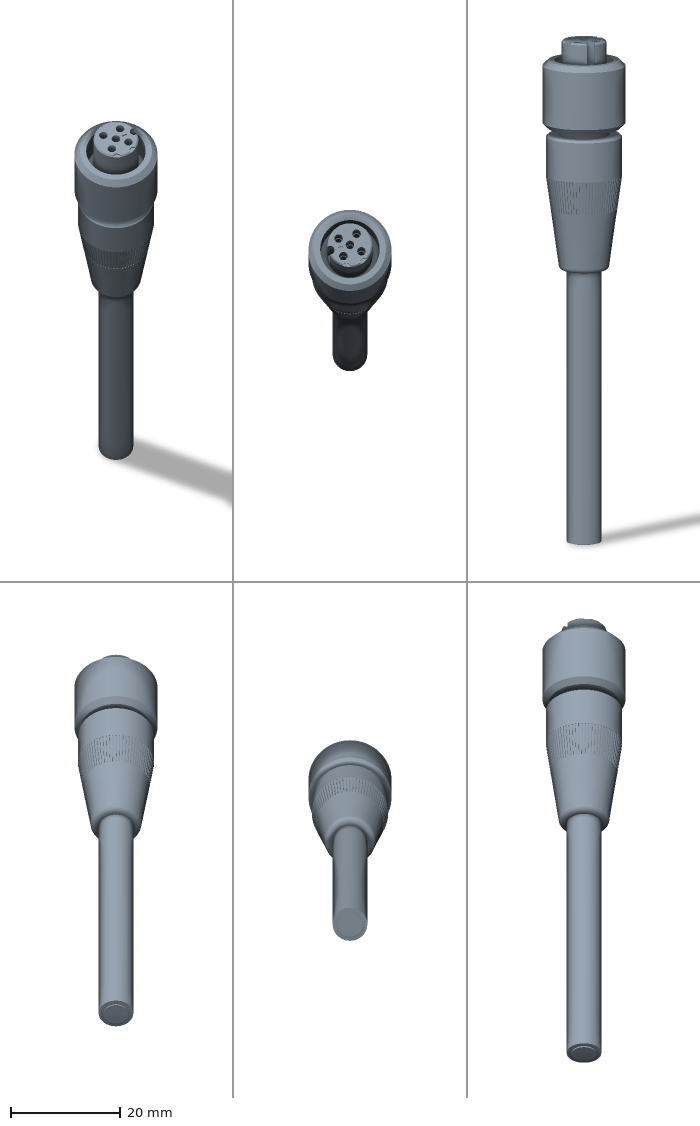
import cadquery as cq
import math

total_height = 93.88
nut_top = total_height - 3.71
nut_bottom = total_height - 16.42
grip_top = total_height - 17.6
knurl_top = total_height - 25.3
knurl_bottom = total_height - 31.55
boot_bottom = total_height - 42.85
jacket_bottom = 0.25

nut_diameter = 15.24
nut_face_diameter = 13.2
nut_bore_diameter = 10.92
nut_chamfer_height = 1.02
insert_diameter = 8.2
neck_diameter = 9.42
grip_diameter = 13.97
boot_end_diameter = 9.05
cable_diameter = 6.35
core_diameter = 4.57

insert_chamfer = 0.25
grip_chamfer = 0.4
boot_end_radius = 0.95

seal_top = nut_top - 5.0
seal_section = (nut_bore_diameter - insert_diameter) / 2
contact_offset = 1.71
contact_mouth_diameter = 1.57
contact_mouth_depth = 3.0
contact_bore_diameter = 1.14
contact_bore_depth = 6.0
contact_point_angle = 118
key_radius = 0.8
key_centre = 3.75
key_depth = 8.0
mark_width = 0.3
mark_length = 1.0
mark_centre = contact_offset
mark_depth = 0.3
relief_depth = 0.3
relief_diameter = 1.5
relief_x = 3.8
relief_y = contact_offset

groove_count = 72
groove_width = 0.2
groove_depth = 0.15

corners = [(side, row) for side in (-1, 1) for row in (-1, 1)]


def disc_on_z(diameter, bottom, top):
    return cq.Workplane("XY").workplane(offset=bottom).circle(diameter / 2).extrude(top - bottom)


def make_nut():
    outer = nut_diameter / 2
    face = nut_face_diameter / 2
    return (
        cq.Workplane("XZ")
        .moveTo(0, nut_bottom)
        .lineTo(face, nut_bottom)
        .lineTo(outer, nut_bottom + nut_chamfer_height)
        .lineTo(outer, nut_top - nut_chamfer_height)
        .lineTo(face, nut_top)
        .lineTo(0, nut_top)
        .close()
        .revolve(360, (0, 0, 0), (0, 1, 0))
        .cut(disc_on_z(nut_bore_diameter, seal_top - seal_section / 2, nut_top))
    )


def make_seal():
    middle = (nut_bore_diameter + insert_diameter) / 4
    return (
        cq.Workplane("XZ")
        .center(middle, seal_top - seal_section / 2)
        .circle(seal_section / 2)
        .revolve(360, (-middle, 0, 0), (-middle, 1, 0))
    )


def top_plane_at(x, y):
    return cq.Workplane("XY").workplane(offset=total_height).center(x, y)


def make_insert():
    insert = disc_on_z(insert_diameter, nut_bottom, total_height).faces(">Z").chamfer(insert_chamfer)
    key = top_plane_at(0, key_centre).circle(key_radius).extrude(-key_depth)
    mark = top_plane_at(0, mark_centre).rect(mark_width, mark_length).extrude(-mark_depth)
    insert = insert.cut(key).cut(mark)
    for side, row in corners:
        relief = (
            top_plane_at(side * relief_x, row * relief_y)
            .circle(relief_diameter / 2)
            .extrude(-relief_depth)
        )
        insert = insert.cut(relief)
    return insert


def contact_cutter():
    mouth = contact_mouth_diameter / 2
    bore = contact_bore_diameter / 2
    floor = total_height - contact_bore_depth
    point = floor - bore / math.tan(math.radians(contact_point_angle / 2))
    return (
        cq.Workplane("XZ")
        .moveTo(0, total_height)
        .lineTo(mouth, total_height)
        .lineTo(mouth, total_height - contact_mouth_depth)
        .lineTo(bore, total_height - contact_mouth_depth)
        .lineTo(bore, floor)
        .lineTo(0, point)
        .close()
        .revolve(360, (0, 0, 0), (0, 1, 0))
    )


def make_grip():
    top = grip_diameter / 2
    end = boot_end_diameter / 2
    grip = (
        cq.Workplane("XZ")
        .moveTo(0, boot_bottom)
        .lineTo(end, boot_bottom)
        .lineTo(top, knurl_top)
        .lineTo(top, grip_top - grip_chamfer)
        .lineTo(top - grip_chamfer, grip_top)
        .lineTo(0, grip_top)
        .close()
        .revolve(360, (0, 0, 0), (0, 1, 0))
    )
    grip = grip.faces("<Z").edges().fillet(boot_end_radius)
    return cq.Workplane(grip.val().cut(*knurl_cutters()))


def boot_radius(z):
    share = (z - boot_bottom) / (knurl_top - boot_bottom)
    return (boot_end_diameter + share * (grip_diameter - boot_end_diameter)) / 2


def groove_cutter():
    low = boot_radius(knurl_bottom)
    high = boot_radius(knurl_top)
    return (
        cq.Workplane("XZ")
        .moveTo(low - groove_depth, knurl_bottom)
        .lineTo(high - groove_depth, knurl_top)
        .lineTo(high + groove_depth, knurl_top)
        .lineTo(low + groove_depth, knurl_bottom)
        .close()
        .extrude(groove_width / 2, both=True)
        .val()
    )


def knurl_cutters():
    groove = groove_cutter()
    step = 360 / groove_count
    axis = (cq.Vector(0, 0, 0), cq.Vector(0, 0, 1))
    return [groove.rotate(*axis, i * step) for i in range(groove_count)]


body = (
    make_nut()
    .union(make_seal())
    .union(make_insert())
    .union(disc_on_z(neck_diameter, grip_top, nut_bottom))
    .union(make_grip())
    .union(disc_on_z(cable_diameter, jacket_bottom, boot_bottom))
    .union(disc_on_z(core_diameter, 0, jacket_bottom))
)

contact_places = [(0, 0)] + [(side * contact_offset, row * contact_offset) for side, row in corners]
contact_holes = [contact_cutter().val().translate(cq.Vector(x, y, 0)) for x, y in contact_places]
result = cq.Workplane(body.val().cut(*contact_holes)).solids()